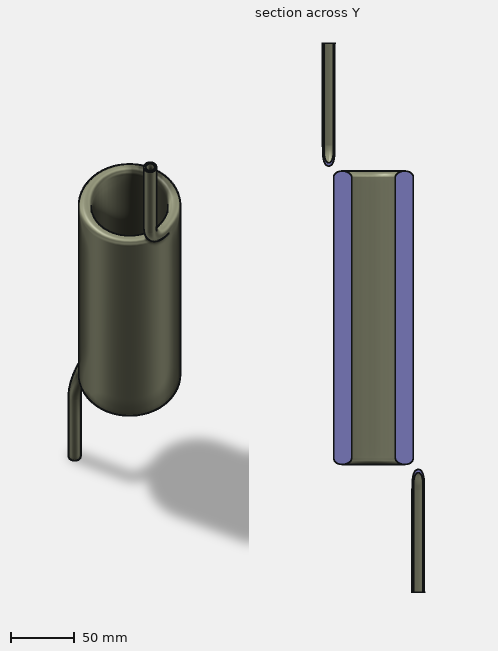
import cadquery as cq

total_height = 430.0
body_diameter = 80.0
body_bore = 60.0
tube_bore = 7.0
bend_radius = 25.0
lead_length = 80.0

tube_diameter = (body_diameter - body_bore) / 2
tube_offset = (body_diameter - tube_diameter) / 2
bend_start_height = total_height / 2 - lead_length - bend_radius
body_height = 2 * bend_start_height + tube_diameter


def make_body():
    """Hollow cylinder whose wall ends are fully rounded."""
    inner_radius = body_bore / 2
    outer_radius = body_diameter / 2
    return (
        cq.Workplane("XZ")
        .moveTo(inner_radius, -bend_start_height)
        .threePointArc((tube_offset, -body_height / 2), (outer_radius, -bend_start_height))
        .lineTo(outer_radius, bend_start_height)
        .threePointArc((tube_offset, body_height / 2), (inner_radius, bend_start_height))
        .close()
        .revolve(360, (0, 0, 0), (0, 1, 0))
    )


def make_lead(side, diameter):
    """Round lead: side +1 is at +X going up, side -1 is at -X going down."""
    bend_start = (side * tube_offset, 0, side * bend_start_height)
    section = cq.Workplane("XZ", origin=bend_start).circle(diameter / 2)
    axis_start = (0, side * bend_radius, 0)
    axis_end = (-side, side * bend_radius, 0)
    bend = section.revolve(90, axis_start, axis_end)
    bend_end = (side * tube_offset, -bend_radius, side * (bend_start_height + bend_radius))
    straight = (
        cq.Workplane("XY", origin=bend_end)
        .circle(diameter / 2)
        .extrude(side * lead_length)
    )
    return bend.union(straight)


result = make_body()
for side in (1, -1):
    result = result.union(make_lead(side, tube_diameter))
for side in (1, -1):
    result = result.cut(make_lead(side, tube_bore))